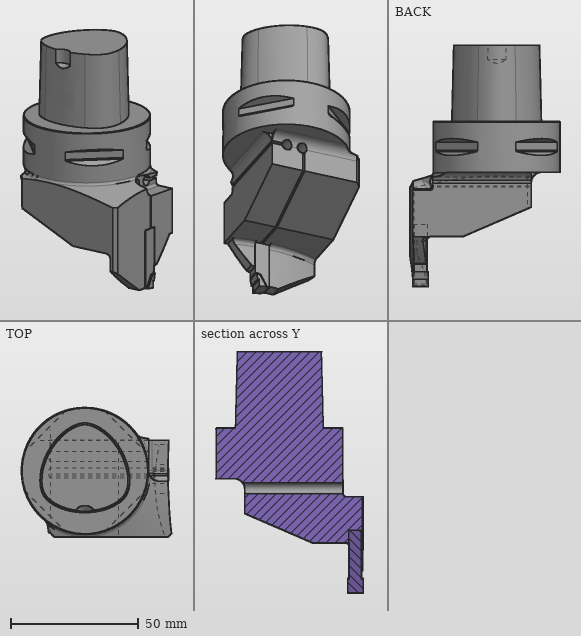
import cadquery as cq
import math

ROOM = 76.0

shank_height = 30.0
shank_mean_radius = 17.7
shank_lobe_height = 1.2
shank_taper = 1 / 40
lobe_half_angle = 37.0
notch_radius = 4.3
notch_axis_y = -17.9
notch_depth = 5.6
notch_tip_depth = 2.85

flange_radius = 25.0
flange_height = 20.0
flange_chamfer = 0.3
groove_floor_distance = 22.1
groove_middle_z = -10.1
groove_height = 3.6
groove_bevel_height = 0.6
groove_bevel_depth = 0.2
groove_flank_rise = 1.5

block_left_x = -13.7
block_back_y = 12.2
block_front_y = -26.0
block_bottom_z = -45.3
left_chamfer = 1.7
right_chamfer = 1.4
slope_top_z = -33.7
slope_end_x = 13.1
neck_fillet = 4.0
cone_angle = 16.0
cone_top_z = -21.1
cone_fillet = 1.1
outer_back_x = 33.1
outer_waist = (32.7, -0.6)
outer_front_x = 34.1

blade_inner_x = 27.5
blade_inner_y = -4.3
blade_inner_radius = 60.8
blade_bottom_z = -63.9
blade_toe_y = -8.8
blade_heel_z = -52.2
blade_root_fillet = 1.8
finger_start_y = 10.5
finger_middle = (6.8, -50.6)
finger_end = (2.7, -55.8)
finger_tip_z = -56.2

relief_hole_diameter = 4.0
relief_hole_z = -23.75
jaw_hole_y = -0.71
back_hole_y = 5.8
jaw_slot_y = -1.4
jaw_slot_width = 0.8
back_slot_height = 1.0

step_wall_x = 25.1
step_side_y = -4.1
step_floor_z = -27.1
step_wall_fillet = 1.1
step_side_fillet = 4.3

insert_left_x = 27.4
insert_right_x = 32.3
insert_back_y = 1.3
insert_front_y = -4.75
insert_top_z = -40.4
insert_tip_z = -65.0
insert_heel_z = -64.4
head_left_x = 26.9
head_right_x = 33.1
head_top_z = -59.2
head_back_y = 0.95
rake_foot = (0.4, -62.0)
edge_y = -0.2
head_shoulder = (-0.8, -59.6)
head_heel = (-3.6, -64.5)


def box(x_range, y_range, z_range):
    """Box between the given limits."""
    sizes = [high - low for low, high in (x_range, y_range, z_range)]
    corner = (x_range[0], y_range[0], z_range[0])
    return cq.Workplane("XY").box(*sizes, centered=False).translate(corner)


def side_prism(points, x_start, x_end):
    """Prism along X over a closed outline of (y, z) points."""
    return cq.Workplane("YZ", origin=(x_start, 0, 0)).polyline(points).close().extrude(x_end - x_start)


def shank_point(mean_radius, angle):
    """Point of the three-lobed section whose outward normal lies at the given angle from +X."""
    turn = math.radians(angle)
    phase = 3 * (turn - math.radians(90))
    support = mean_radius + shank_lobe_height * math.cos(phase)
    slope = -3 * shank_lobe_height * math.sin(phase)
    return (
        support * math.cos(turn) - slope * math.sin(turn),
        support * math.sin(turn) + slope * math.cos(turn),
    )


def shank_wire(mean_radius, z):
    """Closed section of three lobes and three flanks, one spline each."""
    edges = []
    steps = 8
    for lobe in (90, 210, 330):
        limits = (lobe - lobe_half_angle, lobe + lobe_half_angle, lobe + 120 - lobe_half_angle)
        for start, end in zip(limits, limits[1:]):
            angles = [start + (end - start) * i / steps for i in range(steps + 1)]
            points = [cq.Vector(*shank_point(mean_radius, angle), z) for angle in angles]
            edges.append(cq.Edge.makeSpline(points))
    return cq.Wire.assembleEdges(edges)


def make_shank():
    """Tapered shank with the drilled notch in its front flank."""
    top_radius = shank_mean_radius - shank_taper * shank_height
    sections = [shank_wire(shank_mean_radius, 0), shank_wire(top_radius, shank_height)]
    shank = cq.Workplane(cq.Solid.makeLoft(sections, True))
    wall_end_z = shank_height - notch_depth
    notch = (
        cq.Workplane("XZ")
        .moveTo(0, shank_height)
        .lineTo(notch_radius, shank_height)
        .lineTo(notch_radius, wall_end_z)
        .lineTo(0, wall_end_z - notch_tip_depth)
        .close()
        .revolve(360, (0, 0, 0), (0, 1, 0))
        .translate((0, notch_axis_y, 0))
    )
    return shank.cut(notch)


def make_flange():
    """Round flange with a gripper groove on each diagonal."""
    flange = cq.Workplane("XY").circle(flange_radius).extrude(-flange_height)
    flange = flange.faces(">Z").chamfer(flange_chamfer)
    top = groove_middle_z + groove_height / 2
    bottom = groove_middle_z - groove_height / 2
    bevel_x = groove_floor_distance + groove_bevel_depth
    groove = (
        cq.Workplane("XZ")
        .polyline(
            [
                (groove_floor_distance, top),
                (groove_floor_distance, bottom + groove_bevel_height),
                (bevel_x, bottom),
                (flange_radius, bottom - groove_flank_rise),
                (flange_radius, top + groove_flank_rise),
            ]
        )
        .close()
        .extrude(flange_radius, both=True)
    )
    for angle in (45, 135, 225, 315):
        flange = flange.cut(groove.rotate((0, 0, 0), (0, 0, 1), angle))
    return flange


def outer_plan(left_outline):
    """Plan outline: the given left part, then the front, chamfer, curved right face and back."""
    front_corner_y = block_front_y + right_chamfer
    return (
        left_outline.lineTo(outer_front_x - right_chamfer, block_front_y)
        .lineTo(outer_front_x, front_corner_y)
        .threePointArc(outer_waist, (outer_back_x, block_back_y))
        .close()
    )


def make_block():
    """Block with chamfered front corners and a sloped lower left side."""
    left = (
        cq.Workplane("XY", origin=(0, 0, block_bottom_z))
        .moveTo(block_left_x, block_back_y)
        .lineTo(block_left_x, block_front_y + left_chamfer)
        .lineTo(block_left_x + left_chamfer, block_front_y)
    )
    block = outer_plan(left).extrude(-flange_height - block_bottom_z)
    slope = (
        cq.Workplane("XZ")
        .polyline(
            [
                (block_left_x, slope_top_z),
                (slope_end_x, block_bottom_z),
                (block_left_x, block_bottom_z),
            ]
        )
        .close()
        .extrude(ROOM, both=True)
    )
    return block.cut(slope)


def neck_fillet_section(plane):
    """Concave fillet section between a wall on the local Y axis and the flange underside."""
    sag = neck_fillet * (1 - math.sqrt(0.5))
    return (
        cq.Workplane(plane)
        .moveTo(0, -flange_height)
        .lineTo(neck_fillet, -flange_height)
        .threePointArc((sag, -flange_height - sag), (0, -flange_height - neck_fillet))
        .close()
    )


def make_neck_fillets():
    """Fillets joining the left and back faces of the block to the flange underside."""
    along_y = neck_fillet_section("XZ").extrude(block_back_y - block_front_y - left_chamfer)
    left = along_y.mirror("YZ").translate((block_left_x, block_back_y, 0))
    along_x = neck_fillet_section("YZ").extrude(outer_back_x - block_left_x)
    back = along_x.translate((block_left_x, block_back_y, 0))
    return left.union(back)


def make_cone_envelope():
    """Solid of revolution under which the block stays: the flange edge, a fillet and a cone."""
    slope = math.radians(cone_angle)
    tangent = cone_fillet * math.tan((math.pi / 2 - slope) / 2)
    fillet_top = (flange_radius, cone_top_z + tangent)
    fillet_end = (flange_radius + tangent * math.cos(slope), cone_top_z - tangent * math.sin(slope))
    middle_angle = (math.pi / 2 - slope) / 2
    fillet_middle = (
        flange_radius + cone_fillet * (1 - math.cos(middle_angle)),
        fillet_top[1] - cone_fillet * math.sin(middle_angle),
    )
    rim_z = cone_top_z - (ROOM - flange_radius) * math.tan(slope)
    return (
        cq.Workplane("XZ")
        .moveTo(0, -flange_height)
        .lineTo(flange_radius, -flange_height)
        .lineTo(*fillet_top)
        .threePointArc(fillet_middle, fillet_end)
        .lineTo(ROOM, rim_z)
        .lineTo(ROOM, insert_tip_z)
        .lineTo(0, insert_tip_z)
        .close()
        .revolve(360, (0, 0, 0), (0, 1, 0))
    )


def inner_face_x(y):
    """X of the curved inner face of the blade at the given Y."""
    rise = math.sqrt(blade_inner_radius**2 - (y - blade_inner_y) ** 2)
    return blade_inner_x + blade_inner_radius - rise


def make_blade():
    """Curved blade reaching from the block bottom to the blade bottom."""
    inner = (
        cq.Workplane("XY", origin=(0, 0, blade_bottom_z))
        .moveTo(inner_face_x(block_back_y), block_back_y)
        .threePointArc((blade_inner_x, blade_inner_y), (inner_face_x(block_front_y), block_front_y))
    )
    return outer_plan(inner).extrude(block_bottom_z - blade_bottom_z)


def make_blade_trim():
    """Side silhouette of the block and blade, extended along X."""
    return (
        cq.Workplane("YZ", origin=(-ROOM, 0, 0))
        .moveTo(block_front_y, 0)
        .lineTo(block_front_y, blade_heel_z)
        .lineTo(blade_toe_y, blade_bottom_z)
        .lineTo(insert_back_y, blade_bottom_z)
        .lineTo(insert_back_y, finger_tip_z)
        .lineTo(*finger_end)
        .threePointArc(finger_middle, (finger_start_y, block_bottom_z))
        .lineTo(block_back_y, block_bottom_z)
        .lineTo(block_back_y, 0)
        .close()
        .extrude(2 * ROOM)
    )


def make_clamping_cuts():
    """Two relief holes along X, the slot below one and the slot from the other to the back."""
    holes = (
        cq.Workplane("YZ", origin=(-ROOM, 0, 0))
        .pushPoints([(jaw_hole_y, relief_hole_z), (back_hole_y, relief_hole_z)])
        .circle(relief_hole_diameter / 2)
        .extrude(2 * ROOM)
    )
    half_width = jaw_slot_width / 2
    jaw_slot = box(
        (-ROOM, ROOM), (jaw_slot_y - half_width, jaw_slot_y + half_width), (block_bottom_z, relief_hole_z)
    )
    half_height = back_slot_height / 2
    back_slot = box(
        (-ROOM, ROOM), (back_hole_y, ROOM), (relief_hole_z - half_height, relief_hole_z + half_height)
    )
    return holes.union(jaw_slot).union(back_slot)


def make_jaw_step():
    """Step cut over the jaw, filleted along its two walls."""
    step = box((step_wall_x, ROOM), (step_side_y, ROOM), (step_floor_z, -flange_height))
    step = step.edges("<X and <Z").fillet(step_wall_fillet)
    return step.edges("<Y and <Z").fillet(step_side_fillet)


def make_insert_pocket():
    """Seat of the insert, opened to the left below the block."""
    width = (insert_front_y, insert_back_y)
    seat = box((insert_left_x, ROOM), width, (insert_tip_z, insert_top_z))
    relief = box((slope_end_x, insert_left_x), width, (insert_tip_z, block_bottom_z))
    return seat.union(relief)


def make_holder():
    """Shank, flange, clamping block and blade as one solid."""
    lower = make_block().union(make_blade())
    margin = 0.5
    root = cq.selectors.BoxSelector(
        (blade_inner_x - margin, block_front_y - margin, block_bottom_z - margin),
        (outer_waist[0] - margin, block_back_y + margin, block_bottom_z + margin),
    )
    lower = lower.edges(root).fillet(blade_root_fillet)
    lower = lower.intersect(make_blade_trim())
    lower = lower.union(make_neck_fillets()).intersect(make_cone_envelope())
    lower = lower.cut(make_jaw_step()).cut(make_clamping_cuts()).cut(make_insert_pocket())
    return make_flange().union(lower).union(make_shank())


def make_insert():
    """Cutting insert: a narrow body with a wider cutting head at its lower end."""
    head_outline = [
        (head_back_y, head_top_z),
        rake_foot,
        (edge_y, rake_foot[1]),
        (edge_y, insert_tip_z),
        head_heel,
        head_shoulder,
    ]
    body_outline = [
        (insert_front_y, insert_top_z),
        (insert_front_y, insert_heel_z),
        head_heel,
        head_shoulder,
        (head_back_y, head_top_z),
        (insert_back_y, head_top_z),
        (insert_back_y, insert_top_z),
    ]
    body = side_prism(body_outline, insert_left_x, insert_right_x)
    return body.union(side_prism(head_outline, head_left_x, head_right_x))


holder = make_holder()
insert = make_insert()
result = cq.Compound.makeCompound([holder.val(), insert.val()])